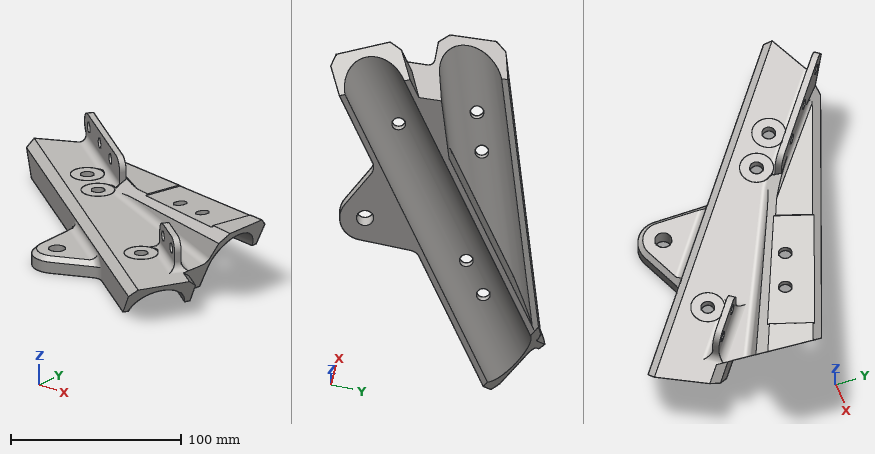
import cadquery as cq
import math


half_width = 21.25
bar_height = 20.0
bar_chamfer = 5.0
flat_half_width = half_width - bar_chamfer
groove_radius = 18.0
groove_axis_depth = 2.6
oversize = 300.0

main_angle = -math.degrees(math.atan2(3, 4))
branch_angle = -20.0
branch_slope = math.tan(math.radians(7.0))

left_end = dict(heading=115.7, distance=18.1, lean=0.667)
right_end = dict(heading=-28.0, distance=207.5, lean=0.84)
branch_end = dict(heading=-3.7, distance=171.1, lean=0.583)

screw_diameter = 8.0
pad_diameter = 20.0
pad_depth = 0.1
pad_clearance = 5.0
main_screws = [32.4, 57.4, 157.4]
branch_screws = [120.0, 145.0]

branch_top_z = 17.75
branch_back = -50.0
branch_front = 200.0
branch_block_top = 55.0
recess_depth = 0.8
recess_margin = 27.5
wall_fillet = 5.0
near_flat_start = (85.4, -5.2, 0.0)
near_flat_end = (193.3, -10.5, 0.0)
near_edge_start = (109.6, -12.8, 6.4)
near_edge_end = (192.1, -17.5, 4.8)
near_wall_heading = -115.0
near_wall_lean = 0.3

web_reach = 210.0
web_side = 120.0

flange_thickness = 4.0
flange_inner_face = flat_half_width - flange_thickness
flange_top = 38.5
flange_corner = 7.5
flange_hole_z = flange_top - flange_corner
flange_hole_diameter = 6.0
flange_fillet = 5.0
long_flange = dict(start=-21.1, end=60.5, holes=[-11.0, 14.0, 39.0], foot_behind=False)
short_flange = dict(start=153.7, end=188.3, holes=[161.3, 180.5], foot_behind=True)
branch_strip_fillet = 3.3
branch_strip_length = 90.0

lug_x = 68.0
lug_y = -101.0
lug_radius = 15.0
lug_hole_diameter = 10.0
lug_height = 10.0
lug_chamfer = 2.9
lug_fillet = 5.0
lug_corner_fillet = 7.0
lug_side_angle = 23.5
lug_reach = 75.0

tiny = 0.01


def plan_point(angle, station, left=0.0):
    """Plan coordinates of a station along a heading, with an offset to its left."""
    a = math.radians(angle)
    x = station * math.cos(a) - left * math.sin(a)
    y = station * math.sin(a) + left * math.cos(a)
    return x, y


def branch_point(station, left, drop=0.0):
    """Point a given drop below the branch top plane."""
    x, y = plan_point(branch_angle, station, left)
    return cq.Vector(x, y, branch_top_z + branch_slope * x - drop)


def turned(body, angle):
    return body.rotate((0, 0, 0), (0, 0, 1), angle)


def bar_box(angle, stations, lefts, heights):
    """Box set along a bar, given its ranges of station, left offset and height."""
    size = [high - low for low, high in (stations, lefts, heights)]
    box = cq.Workplane("XY").box(*size, centered=False)
    return turned(box.translate((stations[0], lefts[0], heights[0])), angle)


def upright_cylinder(point, diameter, bottom, height):
    cylinder = cq.Workplane("XY").center(*point).circle(diameter / 2).extrude(height)
    return cylinder.translate((0, 0, bottom))


def beyond(point, normal):
    """Block filling the side of a plane that its normal points to."""
    plane = cq.Plane(origin=point, normal=normal)
    return cq.Workplane(plane).rect(2 * oversize, 2 * oversize).extrude(oversize)


def above_plane(p, q, r):
    """Block above the sloping plane through three points."""
    normal = (q - p).cross(r - p)
    if normal.z < 0:
        normal = normal * -1
    return beyond(p.toTuple(), normal.toTuple())


def outside_end(heading, distance, lean):
    """Block outside a leaning end plane."""
    x, y = plan_point(heading, distance)
    normal_x, normal_y = plan_point(heading, 1.0)
    return beyond((x, y, bar_height), (normal_x, normal_y, -lean))


def above_branch_top(drop=0.0):
    """Block above the branch top plane lowered by a drop."""
    return above_plane(branch_point(0, 0, drop), branch_point(1, 0, drop), branch_point(0, 1, drop))


def above_far_chamfer():
    """Block above the branch chamfer on the side away from the main bar."""
    flat_start = branch_point(0, flat_half_width)
    flat_end = branch_point(branch_front, flat_half_width)
    edge = branch_point(0, half_width, bar_chamfer)
    return above_plane(flat_start, flat_end, edge)


def make_main_bar():
    """Chamfered bar, trimmed at its left end to stay within the branch's far side."""
    section = [
        (-half_width, 0),
        (half_width, 0),
        (half_width, bar_height - bar_chamfer),
        (flat_half_width, bar_height),
        (-flat_half_width, bar_height),
        (-half_width, bar_height - bar_chamfer),
    ]
    bar = cq.Workplane("YZ").polyline(section).close().extrude(oversize, both=True)
    bar = turned(bar, main_angle)
    beyond_flat = bar_box(main_angle, (-oversize, oversize), (flat_half_width, oversize), (0, oversize))
    bar = bar.cut(beyond_flat.intersect(above_far_chamfer()))
    bar = bar.cut(bar_box(branch_angle, (branch_back, branch_front), (half_width, web_side), (0, bar_height)))
    return bar.cut(outside_end(**right_end))


def make_main_groove():
    """Cylinder of the main tube."""
    tube = cq.Workplane("YZ").circle(groove_radius).extrude(oversize, both=True)
    return turned(tube.translate((0, 0, -groove_axis_depth)), main_angle)


def cut_near_side(body):
    """Cut the chamfer and the leaning wall on the side of the main bar."""
    edge_start = branch_point(*near_edge_start)
    edge_end = branch_point(*near_edge_end)
    flat_start = branch_point(*near_flat_start)
    wall_x, wall_y = plan_point(near_wall_heading, near_wall_lean * bar_height)
    wall_foot = edge_start + cq.Vector(wall_x, wall_y, -bar_height)
    body = body.cut(above_plane(flat_start, branch_point(*near_flat_end), edge_end))
    return body.cut(above_plane(edge_start, edge_end, wall_foot))


def add_wall_foot(bar):
    """Add the concave fillet between the near side and the level top of the web."""
    slab = bar_box(branch_angle, (branch_back, branch_front), (-web_side, 0), (0, bar_height))
    joined = bar.union(slab)
    low = (-oversize, -oversize, bar_height - tiny)
    high = (oversize, oversize, bar_height + tiny)
    feet = []
    for edge in joined.edges(cq.selectors.BoxSelector(low, high)).vals():
        middle = turned(edge, -branch_angle).Center()
        if branch_back + 1 < middle.x < branch_front - 1 and 1 - web_side < middle.y < -1:
            feet.append(edge)
    skirt = joined.newObject(feet).fillet(wall_fillet).cut(slab)
    return bar.union(skirt)


def make_branch_strip():
    """Concave fillet strip between the back of the long flange and the branch top."""
    r = branch_strip_fillet
    back = -flange_thickness / 2
    section = cq.Workplane("YZ").moveTo(back, -r).lineTo(r, -r).lineTo(r, 0)
    section = section.radiusArc((0, r), r).lineTo(back, r).close()
    slope = branch_slope * math.cos(math.radians(main_angle))
    strip = section.extrude(branch_strip_length)
    strip = strip.rotate((0, 0, 0), (0, 1, 0), -math.degrees(math.atan(slope)))
    x, y = plan_point(main_angle, 0, flat_half_width)
    return turned(strip, main_angle).translate((x, y, branch_top_z + branch_slope * x))


def make_recess():
    """Shallow recess in the branch top around its screws."""
    stations = (branch_screws[0] - recess_margin, branch_screws[-1] + recess_margin)
    block = bar_box(branch_angle, stations, (-web_side, web_side), (bar_height, branch_block_top))
    return block.intersect(above_branch_top(recess_depth))


def make_branch_channel():
    """Channel for the branch tube: round at the top and open below."""
    r = groove_radius
    depth = 2 * bar_height
    channel = cq.Workplane("YZ").moveTo(-r, -depth).lineTo(-r, 0).threePointArc((0, r), (r, 0))
    channel = channel.lineTo(r, -depth).close().extrude(oversize)
    slope = branch_slope * math.cos(math.radians(branch_angle))
    channel = channel.rotate((0, 0, 0), (0, 1, 0), -math.degrees(math.atan(slope)))
    axis_z = branch_top_z - bar_height - groove_axis_depth
    return turned(channel, branch_angle).translate((0, 0, axis_z))


def make_web():
    """Level plate filling the angle between the two bar axes."""
    corners = [(0, 0), plan_point(main_angle, web_reach), plan_point(branch_angle, web_reach)]
    return cq.Workplane("XY").polyline(corners).close().extrude(bar_height)


def make_branch():
    """Branch bar with its web, cut at the raised end."""
    stations = (branch_back, branch_front)
    bar = bar_box(branch_angle, stations, (-2 * half_width, half_width), (0, branch_block_top))
    bar = add_wall_foot(cut_near_side(bar))
    bar = bar.cut(above_branch_top()).union(cut_near_side(make_branch_strip()))
    bar = bar.cut(above_far_chamfer()).cut(make_recess())
    bar = bar.intersect(above_branch_top(bar_height))
    front_of_flange = bar_box(
        main_angle, (-oversize, long_flange["end"]), (-oversize, flange_inner_face), (bar_height, oversize)
    )
    body = make_web().union(bar).cut(make_branch_channel()).cut(front_of_flange)
    return body.cut(outside_end(**branch_end))


def make_flange(start, end, holes, foot_behind):
    """Upright plate with rounded corners, drilled, and filleted round its foot."""
    length = end - start
    rise = flange_top - bar_height
    slab = cq.Workplane("XY").box(2 * length, 2 * half_width, 2.0).translate((0, 0, -1.0))
    plate = cq.Workplane("XY").box(length, flange_thickness, rise, centered=(True, True, False))
    plate = plate.edges("|Y and >Z").fillet(flange_corner)
    reach_x = length / 2 + tiny
    reach_y = flange_thickness / 2 + tiny
    foot = cq.selectors.BoxSelector((-reach_x, -reach_y, -tiny), (reach_x, reach_y, tiny))
    body = slab.union(plate).edges(foot).fillet(flange_fillet).cut(slab)
    if not foot_behind:
        behind = cq.Workplane("XY").box(2 * length, half_width, rise, centered=(True, False, False))
        body = body.cut(behind.translate((0, flange_thickness / 2, 0)))
    body = body.translate(((start + end) / 2, flat_half_width - flange_thickness / 2, bar_height))
    bores = cq.Workplane("XZ").pushPoints([(station, flange_hole_z) for station in holes])
    bores = bores.circle(flange_hole_diameter / 2).extrude(-half_width)
    return turned(body.cut(bores), main_angle)


def make_lug():
    """Ear beside the main bar, with a chamfered rim and concave fillets where it meets the bar."""
    r = lug_radius
    a = math.radians(lug_side_angle)
    arc_end = (r * math.sin(a), -r * math.cos(a))
    arc_middle = plan_point((lug_side_angle - 270) / 2, r)
    side_x, side_y = plan_point(lug_side_angle, lug_reach)
    lug = cq.Workplane("XY").moveTo(-r, lug_reach).lineTo(-r, 0).threePointArc(arc_middle, arc_end)
    lug = lug.lineTo(arc_end[0] + side_x, arc_end[1] + side_y).close().extrude(lug_height)
    lug = lug.faces(">Z").edges().chamfer(lug_chamfer)
    lug = turned(lug.translate((lug_x, lug_y, 0)), -main_angle)

    wall = bar_box(0, (-oversize, oversize), (-half_width, oversize), (0, 2 * bar_height))
    at_wall = cq.selectors.BoxSelector(
        (0, -half_width - tiny, tiny), (web_reach, -half_width + tiny, lug_height + tiny)
    )
    body = wall.union(lug).edges(at_wall).edges("|Z").fillet(lug_corner_fillet)
    body = body.edges(at_wall).fillet(lug_fillet).cut(wall)
    bore = upright_cylinder((lug_x, lug_y), lug_hole_diameter, 0, bar_height)
    return turned(body, main_angle).cut(bore)


def cut_screws(body):
    """Drill the clamp screws and clear a round pad about each screw of the main bar."""
    for station in main_screws:
        point = plan_point(main_angle, station)
        body = body.cut(upright_cylinder(point, pad_diameter, bar_height - pad_depth, pad_clearance))
        body = body.cut(upright_cylinder(point, screw_diameter, 0, branch_block_top))
    for station in branch_screws:
        point = plan_point(branch_angle, station)
        body = body.cut(upright_cylinder(point, screw_diameter, 0, branch_block_top))
    return body


main_part = make_main_bar().union(make_lug()).cut(make_main_groove())
branch_part = make_branch().cut(make_main_groove())
bracket = branch_part.union(main_part, clean=False)
bracket = bracket.union(make_flange(**long_flange), clean=False)
bracket = bracket.union(make_flange(**short_flange).cut(outside_end(**branch_end)), clean=False)
result = cut_screws(bracket).cut(outside_end(**left_end))